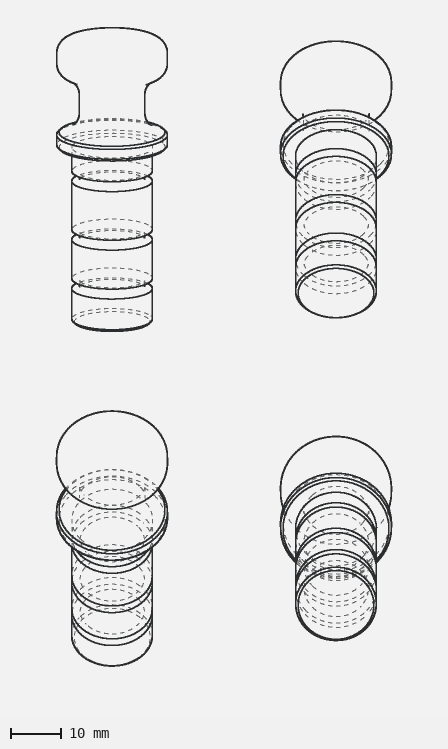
import cadquery as cq
import math

total_height = 58.0
shaft_length = 35.8

knob_radius = 22.0 / 2
neck_radius = 13.0 / 2
flange_thickness = 3.0
edge_chamfer = 0.5
crown_radius = 3.0
band_height = 2.0
neck_blend_radius = knob_radius - edge_chamfer - neck_radius

shaft_radius = 16.0 / 2
groove_radius = 12.8 / 2
groove_width = 2.05
groove_fillet = 0.5
groove_bottoms = [6.8, 16.8, 28.8]


def make_knob():
    """Revolved grip: chamfered flange, waisted neck and rounded head."""
    flange_top = shaft_length + flange_thickness
    neck_bottom = flange_top + neck_blend_radius
    band_top = total_height - crown_radius
    band_bottom = band_top - band_height
    diagonal = math.sqrt(0.5)

    crown_x = knob_radius - crown_radius
    blend_x = neck_radius + neck_blend_radius
    center_distance = crown_radius + neck_blend_radius
    lean = math.acos((blend_x - crown_x) / center_distance)
    neck_top = band_bottom - center_distance * math.sin(lean)

    def on_crown(angle):
        return (crown_x + crown_radius * math.cos(angle), band_bottom - crown_radius * math.sin(angle))

    def on_blend(angle):
        return (
            blend_x - neck_blend_radius * math.cos(angle),
            neck_top + neck_blend_radius * math.sin(angle),
        )

    flange_blend_middle = (
        blend_x - neck_blend_radius * diagonal,
        neck_bottom - neck_blend_radius * diagonal,
    )
    crown_middle = (crown_x + crown_radius * diagonal, band_top + crown_radius * diagonal)

    profile = (
        cq.Workplane("XZ")
        .moveTo(0, shaft_length)
        .lineTo(knob_radius - edge_chamfer, shaft_length)
        .lineTo(knob_radius, shaft_length + edge_chamfer)
        .lineTo(knob_radius, flange_top - edge_chamfer)
        .lineTo(blend_x, flange_top)
        .threePointArc(flange_blend_middle, (neck_radius, neck_bottom))
        .lineTo(neck_radius, neck_top)
        .threePointArc(on_blend(lean / 2), on_blend(lean))
        .threePointArc(on_crown(lean / 2), (knob_radius, band_bottom))
        .lineTo(knob_radius, band_top)
        .threePointArc(crown_middle, (crown_x, total_height))
        .lineTo(0, total_height)
        .close()
    )
    return profile.revolve(360, (0, 0, 0), (0, 1, 0))


def make_groove_cutter(bottom):
    """Ring that cuts one groove, with rounded inner corners."""
    return (
        cq.Workplane("XY")
        .workplane(offset=bottom)
        .circle(shaft_radius)
        .circle(groove_radius)
        .extrude(groove_width)
        .edges(cq.selectors.RadiusNthSelector(0))
        .fillet(groove_fillet)
    )


def make_shaft():
    """Plain cylinder with a chamfered lower end and three ring grooves."""
    shaft = cq.Workplane("XY").circle(shaft_radius).extrude(shaft_length)
    shaft = shaft.faces("<Z").chamfer(edge_chamfer)
    for bottom in groove_bottoms:
        shaft = shaft.cut(make_groove_cutter(bottom))
    return shaft


knob = make_knob()
shaft = make_shaft()

result = cq.Compound.makeCompound([knob.val(), shaft.solids().val()])